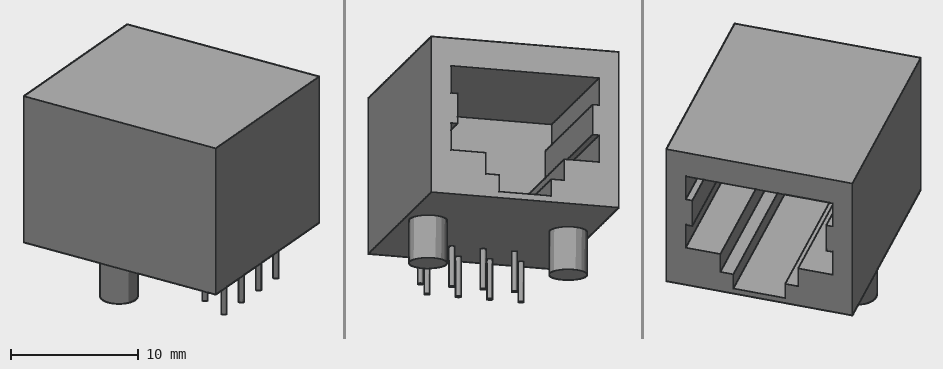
import cadquery as cq

length = 17.74
width = 15.3
overall_height = 16.2
peg_length = 3.48
body_height = overall_height - peg_length

cavity_depth = 13.3
cavity_half_width = 6.03
cavity_top = 10.45
shoulder_level = 3.58
latch_half_width = 3.2
latch_level = 1.86
slot_half_width = 2.13
slot_floor = 0.5

rib_half_gap = 5.5
rib_bottom = 5.78
rib_top = 8.23

peg_diameter = 3.0
peg_x = 7.6
peg_spacing = 11.42

pin_diameter = 0.46
pin_length = 3.25
pin_count = 8
pin_pitch = 1.28
front_row_x = 13.96
row_spacing = 2 * pin_pitch


def make_body():
    return cq.Workplane("XY").box(length, width, body_height, centered=(False, True, False))


def make_cavity():
    half_outline = [
        (slot_half_width, slot_floor),
        (slot_half_width, latch_level),
        (latch_half_width, latch_level),
        (latch_half_width, shoulder_level),
        (cavity_half_width, shoulder_level),
        (cavity_half_width, rib_bottom),
        (rib_half_gap, rib_bottom),
        (rib_half_gap, rib_top),
        (cavity_half_width, rib_top),
        (cavity_half_width, cavity_top),
    ]
    mirrored_half = [(-y, z) for y, z in reversed(half_outline)]
    return cq.Workplane("YZ").polyline(half_outline + mirrored_half).close().extrude(cavity_depth)


def make_posts(centers, diameter, post_length):
    return cq.Workplane("XY").pushPoints(centers).circle(diameter / 2).extrude(-post_length)


peg_centers = [(peg_x, side * peg_spacing / 2) for side in (-1, 1)]

pin_centers = [
    (front_row_x + ((i + 1) % 2) * row_spacing, (i - (pin_count - 1) / 2) * pin_pitch)
    for i in range(pin_count)
]

result = (
    make_body()
    .cut(make_cavity())
    .union(make_posts(peg_centers, peg_diameter, peg_length))
    .union(make_posts(pin_centers, pin_diameter, pin_length))
)